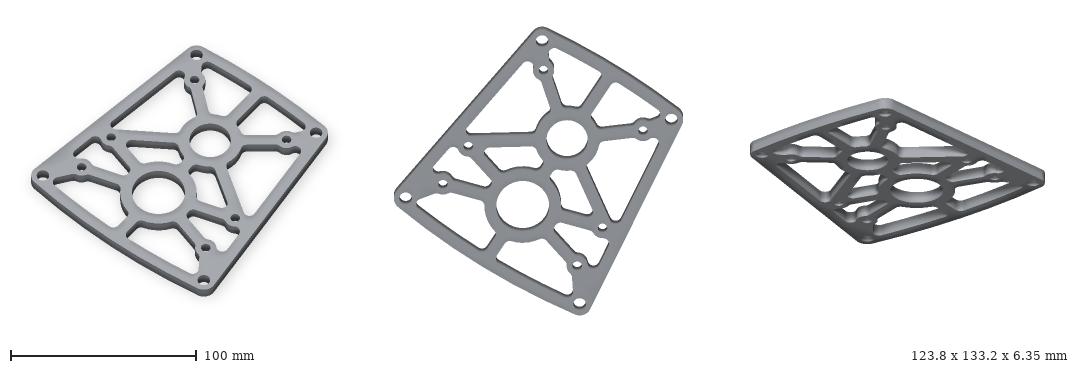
import cadquery as cq
import math

INCH = 25.4

THICKNESS = 0.25 * INCH
WALL = 0.25 * INCH
BOSS_WALL = 0.125 * INCH
POCKET_RADIUS = 0.125 * INCH
CORNER_RADIUS = 0.25 * INCH
END_ARC_RADIUS = 15.59 * INCH

LARGE_BORE = 1.125 * INCH
SMALL_BORE = 0.875 * INCH
CORNER_HOLE = 0.266 * INCH
BOSS_HOLE = 0.2 * INCH

LARGE_HUB = (0, 0)
SMALL_HUB = (0, 1.75 * INCH)
FRONT_CORNER = (2.1875 * INCH, -1.1875 * INCH)
BACK_CORNER = (1.625 * INCH, 3.3125 * INCH)
FRONT_BOSS = (1.6875 * INCH, -0.5 * INCH)
MIDDLE_BOSS = (1.6875 * INCH, 0.5 * INCH)
BACK_BOSS = (1.25 * INCH, 2.78125 * INCH)

DIAGONAL_END = (1.98 * INCH, 0.41 * INCH)

BOSSES = [FRONT_BOSS, MIDDLE_BOSS, BACK_BOSS]
CORNERS = [FRONT_CORNER, BACK_CORNER]

ARC_REACH = END_ARC_RADIUS - CORNER_RADIUS
FRONT_BOW = ARC_REACH - math.sqrt(ARC_REACH**2 - FRONT_CORNER[0] ** 2)
BACK_BOW = ARC_REACH - math.sqrt(ARC_REACH**2 - BACK_CORNER[0] ** 2)
FRONT_MIDDLE = (0, FRONT_CORNER[1] - FRONT_BOW)
BACK_MIDDLE = (0, BACK_CORNER[1] + BACK_BOW)

RIB = (FRONT_MIDDLE, BACK_MIDDLE)
SPOKES = [
    (LARGE_HUB, FRONT_BOSS),
    (LARGE_HUB, MIDDLE_BOSS),
    (SMALL_HUB, DIAGONAL_END),
    (SMALL_HUB, BACK_BOSS),
    (FRONT_BOSS, FRONT_CORNER),
    (BACK_BOSS, BACK_CORNER),
]


def mirrored(point):
    return (-point[0], point[1])


def both_sides(points):
    return points + [mirrored(point) for point in points]


def disc(center, radius):
    return cq.Workplane("XY").center(*center).circle(radius).extrude(THICKNESS)


def bar(start, end, width):
    """Straight bar of the given width between two points, with square ends."""
    run = end[0] - start[0]
    rise = end[1] - start[1]
    middle = ((start[0] + end[0]) / 2, (start[1] + end[1]) / 2)
    angle = math.degrees(math.atan2(rise, run))
    return (
        cq.Workplane("XY")
        .center(*middle)
        .transformed(rotate=(0, 0, angle))
        .rect(math.hypot(run, rise), width)
        .extrude(THICKNESS)
    )


def hole_center_outline():
    """Closed outline whose corners are the corner-hole centres."""
    return (
        cq.Workplane("XY")
        .moveTo(*FRONT_CORNER)
        .lineTo(*BACK_CORNER)
        .threePointArc(BACK_MIDDLE, mirrored(BACK_CORNER))
        .lineTo(*mirrored(FRONT_CORNER))
        .threePointArc(FRONT_MIDDLE, FRONT_CORNER)
        .close()
    )


def outer_plate():
    return hole_center_outline().offset2D(CORNER_RADIUS).extrude(THICKNESS)


def pocket_cores():
    """Pockets shrunk by their corner radius: every wall is thicker by that radius on each side."""
    rim_inset = WALL + POCKET_RADIUS - CORNER_RADIUS
    wide_wall = WALL + 2 * POCKET_RADIUS
    cores = hole_center_outline().offset2D(-rim_inset).extrude(THICKNESS)
    cores = cores.cut(bar(*RIB, wide_wall))
    for start, end in SPOKES:
        cores = cores.cut(bar(start, end, wide_wall))
        cores = cores.cut(bar(mirrored(start), mirrored(end), wide_wall))
    for hub, bore in [(LARGE_HUB, LARGE_BORE), (SMALL_HUB, SMALL_BORE)]:
        cores = cores.cut(disc(hub, bore / 2 + WALL + POCKET_RADIUS))
    for boss in both_sides(BOSSES):
        cores = cores.cut(disc(boss, BOSS_HOLE / 2 + BOSS_WALL + POCKET_RADIUS))
    return cores


def pockets():
    """Cores grown back by the corner radius, which rounds every inside corner."""
    return pocket_cores().faces("<Z").wires().toPending().offset2D(POCKET_RADIUS).extrude(THICKNESS)


def holes(centers, diameter):
    return cq.Workplane("XY").pushPoints(centers).circle(diameter / 2).extrude(THICKNESS)


result = (
    outer_plate()
    .cut(pockets())
    .cut(holes([LARGE_HUB], LARGE_BORE))
    .cut(holes([SMALL_HUB], SMALL_BORE))
    .cut(holes(both_sides(CORNERS), CORNER_HOLE))
    .cut(holes(both_sides(BOSSES), BOSS_HOLE))
)